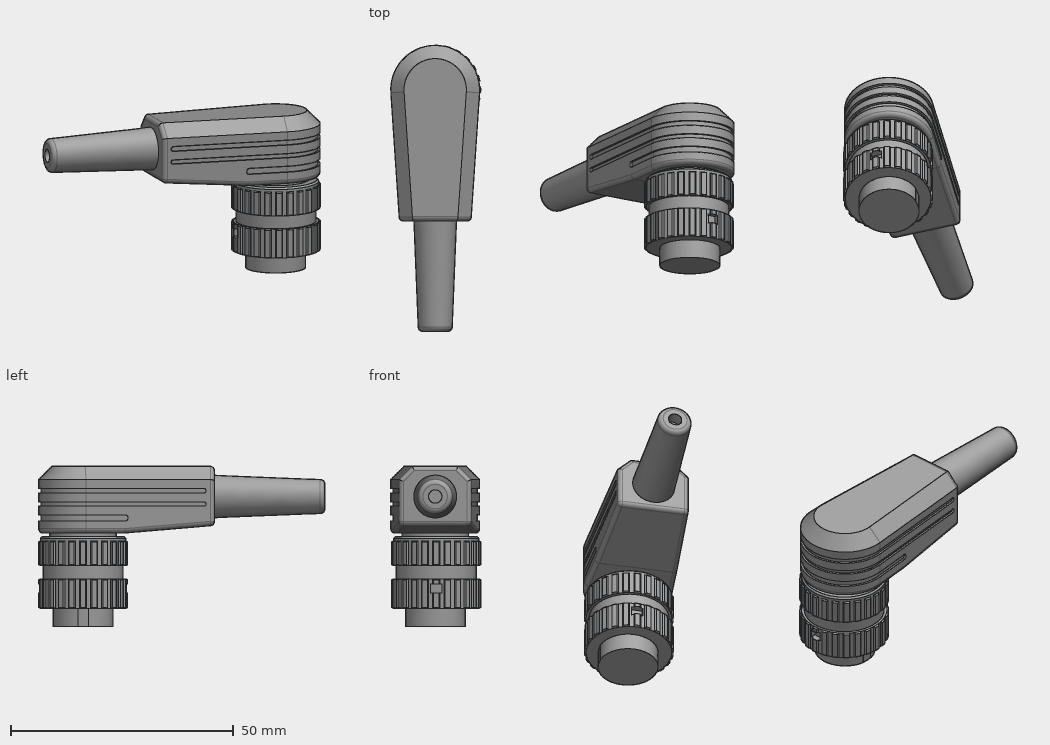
import cadquery as cq
import math

TOTAL_HEIGHT = 36.0
TOTAL_LENGTH = 64.29

HOUSING_RADIUS = 10.0
HOUSING_LENGTH = 39.5
HOUSING_END_HALF_WIDTH = 8.05
HOUSING_BOTTOM = 21.0
TOP_CHAMFER = 3.0
EDGE_FILLET = 1.0
SLOPE_START_Y = -19.4
SLOPE_RISE = 1.7

GROOVE_DEPTH = 0.5
LONG_GROOVE_END_Y = -HOUSING_LENGTH + 1.9
SHORT_GROOVE_END_Y = -20.1
GRIP_GROOVES = (
    (5.5, 1.1, LONG_GROOVE_END_Y),
    (8.5, 0.95, LONG_GROOVE_END_Y),
    (11.6, 1.35, SHORT_GROOVE_END_Y),
)

SLEEVE_AXIS_Z = 29.2
SLEEVE_ROOT_DIAMETER = 9.6
SLEEVE_TIP_DIAMETER = 7.6
SLEEVE_TIP_FILLET = 1.1
SLEEVE_OVERLAP = 2.0
CABLE_HOLE_DIAMETER = 3.0
CABLE_HOLE_DEPTH = 3.0

PLUG_DIAMETER = 13.5
NECK_DIAMETER = 15.0
KEYWAY_WIDTH = 2.4
KEYWAY_DEPTH = 0.1

COLLAR_X = 0.23
COLLAR_BAND_DIAMETER = 18.0
COLLAR_RING_DIAMETER = 19.2
COLLAR_BOTTOM = 4.1
LOWER_KNURL_TOP = 10.7
UPPER_KNURL_BOTTOM = 13.7
UPPER_KNURL_TOP = 19.2
COLLAR_TOP = 20.2
COLLAR_CHAMFER = 0.4

RIB_COUNT = 24
RIB_TIP_DIAMETER = 20.0
RIB_TIP_WIDTH = 1.05
RIB_BASE_WIDTH = 1.6
RIB_EMBED_DIAMETER = 18.4
RIB_TRIM = 0.1
RIB_END_BEVEL = 0.2

POCKET_WIDTH = 2.55
POCKET_BOTTOM = 7.55
POCKET_TOP = 9.6
POCKET_FLOOR_DIAMETER = 17.1


def cylinder(diameter, bottom, top, x=0.0):
    """Upright cylinder on the connector axis, shifted by x."""
    plane = cq.Workplane("XY", origin=(x, -HOUSING_RADIUS, bottom))
    return plane.circle(diameter / 2).extrude(top - bottom)


def housing_prism(inset, bottom, top):
    """Teardrop prism whose round end and tangent sides are moved in by inset."""
    end_drop = HOUSING_LENGTH - HOUSING_RADIUS
    end_distance = math.hypot(HOUSING_END_HALF_WIDTH, end_drop)
    side_angle = math.acos(HOUSING_RADIUS / end_distance) - math.atan2(end_drop, HOUSING_END_HALF_WIDTH)
    radius = HOUSING_RADIUS - inset
    tangent_x = radius * math.cos(side_angle)
    tangent_y = -HOUSING_RADIUS + radius * math.sin(side_angle)
    end_half_width = HOUSING_END_HALF_WIDTH - inset / math.cos(side_angle)
    return (
        cq.Workplane("XY", origin=(0, 0, bottom))
        .moveTo(-end_half_width, -HOUSING_LENGTH)
        .lineTo(-tangent_x, tangent_y)
        .threePointArc((0, -inset), (tangent_x, tangent_y))
        .lineTo(end_half_width, -HOUSING_LENGTH)
        .close()
        .extrude(top - bottom)
    )


def underside_wedge():
    """Wedge below the housing where its underside rises towards the sleeve."""
    reach = 2 * HOUSING_RADIUS
    return (
        cq.Workplane("YZ", origin=(-reach, 0, 0))
        .moveTo(SLOPE_START_Y, HOUSING_BOTTOM)
        .lineTo(-HOUSING_LENGTH, HOUSING_BOTTOM + SLOPE_RISE)
        .lineTo(-HOUSING_LENGTH, HOUSING_BOTTOM)
        .close()
        .extrude(2 * reach)
    )


def make_grip_groove(drop, width, end_y):
    """Shallow groove round the back of the housing, rounded at both front ends."""
    centre_z = TOTAL_HEIGHT - drop
    radius = width / 2
    reach = 2 * HOUSING_RADIUS
    slot = (
        cq.Workplane("YZ", origin=(-reach, 0, 0))
        .moveTo(width, centre_z - radius)
        .lineTo(end_y + radius, centre_z - radius)
        .threePointArc((end_y, centre_z), (end_y + radius, centre_z + radius))
        .lineTo(width, centre_z + radius)
        .close()
        .extrude(2 * reach)
    )
    return slot.cut(housing_prism(GROOVE_DEPTH, HOUSING_BOTTOM, TOTAL_HEIGHT))


def make_housing():
    housing = housing_prism(0, HOUSING_BOTTOM, TOTAL_HEIGHT)
    housing = housing.faces(">Z").edges("not <Y").chamfer(TOP_CHAMFER)
    housing = housing.cut(underside_wedge())
    end_edges = housing.faces("<Y").edges()
    underside_edges = housing.faces("<Z").edges("not |X")
    slope_middle = (0, (SLOPE_START_Y - HOUSING_LENGTH) / 2, HOUSING_BOTTOM + SLOPE_RISE / 2)
    slope_face = housing.faces(cq.selectors.NearestToPointSelector(slope_middle))
    slope_edges = slope_face.edges("not |X")
    rounded_edges = end_edges.add(underside_edges).add(slope_edges)
    housing = rounded_edges.fillet(EDGE_FILLET)
    for drop, width, end_y in GRIP_GROOVES:
        housing = housing.cut(make_grip_groove(drop, width, end_y))
    return housing


def make_sleeve():
    """Tapered sleeve along -Y, rounded at its tip, starting inside the housing."""
    root_radius = SLEEVE_ROOT_DIAMETER / 2
    sleeve = (
        cq.Workplane("XY", origin=(0, 0, SLEEVE_AXIS_Z))
        .moveTo(0, -HOUSING_LENGTH + SLEEVE_OVERLAP)
        .lineTo(root_radius, -HOUSING_LENGTH + SLEEVE_OVERLAP)
        .lineTo(root_radius, -HOUSING_LENGTH)
        .lineTo(SLEEVE_TIP_DIAMETER / 2, -TOTAL_LENGTH)
        .lineTo(0, -TOTAL_LENGTH)
        .close()
        .revolve(360, (0, 0, 0), (0, 1, 0))
    )
    return sleeve.faces("<Y").edges().fillet(SLEEVE_TIP_FILLET)


def make_cable_hole():
    plane = cq.Workplane("XZ", origin=(0, -TOTAL_LENGTH, SLEEVE_AXIS_Z))
    return plane.circle(CABLE_HOLE_DIAMETER / 2).extrude(-CABLE_HOLE_DEPTH)


def make_plug():
    """Round plug with a shallow keyway on its -X side, bounded by a round floor."""
    plug = cylinder(PLUG_DIAMETER, 0, COLLAR_BOTTOM + COLLAR_CHAMFER)
    keyway = (
        cq.Workplane("XY", origin=(-PLUG_DIAMETER / 2, -HOUSING_RADIUS, 0))
        .rect(PLUG_DIAMETER / 2, KEYWAY_WIDTH)
        .extrude(COLLAR_BOTTOM)
    )
    plug_core = cylinder(PLUG_DIAMETER - 2 * KEYWAY_DEPTH, 0, COLLAR_BOTTOM)
    return plug.cut(keyway.cut(plug_core))


def rib_envelope(bottom, top):
    """Round envelope of a knurl, bevelled at both ends down to the ring surface."""
    tip_radius = RIB_TIP_DIAMETER / 2
    ring_radius = COLLAR_RING_DIAMETER / 2
    return (
        cq.Workplane("XZ", origin=(COLLAR_X, -HOUSING_RADIUS, 0))
        .moveTo(0, bottom)
        .lineTo(ring_radius, bottom)
        .lineTo(tip_radius, bottom + RIB_END_BEVEL)
        .lineTo(tip_radius, top - RIB_END_BEVEL)
        .lineTo(ring_radius, top)
        .lineTo(0, top)
        .close()
        .revolve(360, (0, 0, 0), (0, 1, 0))
    )


def make_knurl_ribs(bottom, top):
    """Evenly spaced tapered ribs, trimmed to the round bevelled envelope."""
    rib_profile = [
        (RIB_EMBED_DIAMETER / 2, -RIB_BASE_WIDTH / 2),
        (COLLAR_RING_DIAMETER / 2, -RIB_BASE_WIDTH / 2),
        (RIB_TIP_DIAMETER / 2 + RIB_TRIM, -RIB_TIP_WIDTH / 2),
        (RIB_TIP_DIAMETER / 2 + RIB_TRIM, RIB_TIP_WIDTH / 2),
        (COLLAR_RING_DIAMETER / 2, RIB_BASE_WIDTH / 2),
        (RIB_EMBED_DIAMETER / 2, RIB_BASE_WIDTH / 2),
    ]
    rib = cq.Workplane("XY", origin=(0, 0, bottom)).polyline(rib_profile).close().extrude(top - bottom)
    ribs = cq.Workplane("XY")
    for index in range(RIB_COUNT):
        turned_rib = rib.rotate((0, 0, 0), (0, 0, 1), index * 360 / RIB_COUNT)
        ribs = ribs.add(turned_rib.translate((COLLAR_X, -HOUSING_RADIUS, 0)))
    return ribs.combine().intersect(rib_envelope(bottom, top))


def make_pockets():
    """Two opposite pockets, facing -Y and +Y, down to a round floor."""
    bar = (
        cq.Workplane("XY", origin=(COLLAR_X, -HOUSING_RADIUS, POCKET_BOTTOM))
        .rect(POCKET_WIDTH, 2 * RIB_TIP_DIAMETER)
        .extrude(POCKET_TOP - POCKET_BOTTOM)
    )
    return bar.cut(cylinder(POCKET_FLOOR_DIAMETER, POCKET_BOTTOM, POCKET_TOP, COLLAR_X))


def make_collar():
    band = cylinder(COLLAR_BAND_DIAMETER, COLLAR_BOTTOM, COLLAR_TOP, COLLAR_X)
    upper_ring = cylinder(COLLAR_RING_DIAMETER, UPPER_KNURL_BOTTOM, COLLAR_TOP, COLLAR_X)
    upper_ring = upper_ring.faces(">Z").edges().chamfer(COLLAR_CHAMFER)
    lower_ring = cylinder(COLLAR_RING_DIAMETER, COLLAR_BOTTOM, LOWER_KNURL_TOP, COLLAR_X)
    collar = band.union(upper_ring).union(lower_ring)
    collar = collar.union(make_knurl_ribs(COLLAR_BOTTOM, LOWER_KNURL_TOP))
    collar = collar.union(make_knurl_ribs(UPPER_KNURL_BOTTOM, UPPER_KNURL_TOP))
    return collar.cut(make_pockets())


neck = cylinder(NECK_DIAMETER, COLLAR_TOP - COLLAR_CHAMFER, HOUSING_BOTTOM + EDGE_FILLET)

result = (
    make_housing()
    .union(make_sleeve())
    .cut(make_cable_hole())
    .union(neck)
    .union(make_collar())
    .union(make_plug())
)